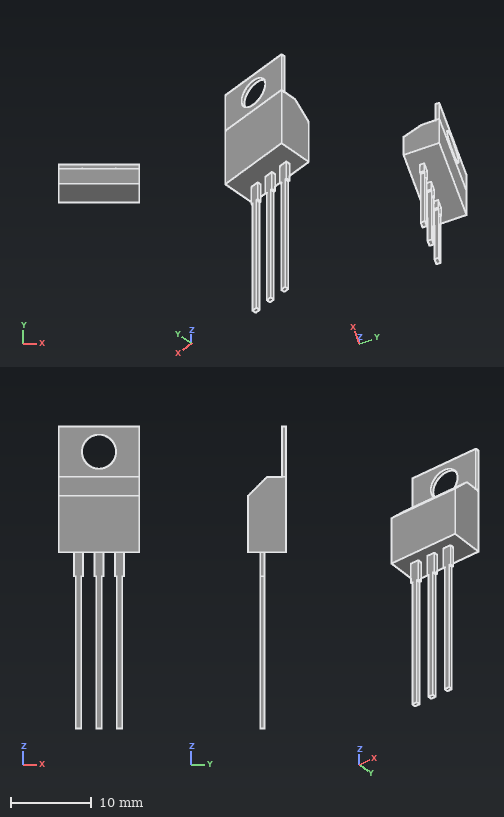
import cadquery as cq

TOTAL_HEIGHT = 37.35
WIDTH = 10.0
DEPTH = 4.7

TAB_HEIGHT = 6.25
TAB_THICKNESS = 0.52
HOLE_DIAMETER = 4.2

HOUSING_HEIGHT = 9.35
CHAMFER = 2.35

LEAD_COUNT = 3
LEAD_PITCH = 2.55
LEAD_THICKNESS = 0.55
LEAD_BACK_OFFSET = 2.65
SHOULDER_WIDTH = 1.15
SHOULDER_LENGTH = 2.95
PIN_WIDTH = 0.7

TAB_BASE = TOTAL_HEIGHT - TAB_HEIGHT
HOUSING_BASE = TAB_BASE - HOUSING_HEIGHT
SHOULDER_BASE = HOUSING_BASE - SHOULDER_LENGTH


def make_tab():
    """Flat plate with a mounting hole at its centre."""
    plate = cq.Workplane("XY").box(WIDTH, TAB_THICKNESS, TAB_HEIGHT)
    drilled = plate.faces("<Y").workplane().hole(HOLE_DIAMETER)
    return drilled.translate((0, -TAB_THICKNESS / 2, TAB_BASE + TAB_HEIGHT / 2))


def make_housing():
    """Block with its upper front edge chamfered."""
    block = cq.Workplane("XY").box(WIDTH, DEPTH, HOUSING_HEIGHT)
    chamfered = block.faces(">Z").edges("<Y").chamfer(CHAMFER)
    return chamfered.translate((0, -DEPTH / 2, HOUSING_BASE + HOUSING_HEIGHT / 2))


def make_lead(center_x):
    """Flat lead with a wide shoulder at the housing and a narrow pin below."""
    half_shoulder = SHOULDER_WIDTH / 2
    half_pin = PIN_WIDTH / 2
    profile = [
        (-half_pin, 0),
        (half_pin, 0),
        (half_pin, SHOULDER_BASE),
        (half_shoulder, SHOULDER_BASE),
        (half_shoulder, HOUSING_BASE),
        (-half_shoulder, HOUSING_BASE),
        (-half_shoulder, SHOULDER_BASE),
        (-half_pin, SHOULDER_BASE),
    ]
    lead = cq.Workplane("XZ").polyline(profile).close().extrude(LEAD_THICKNESS)
    return lead.translate((center_x, -LEAD_BACK_OFFSET, 0))


tab = make_tab()
housing = make_housing()

leads = []
for index in range(LEAD_COUNT):
    lead_x = (index - (LEAD_COUNT - 1) / 2) * LEAD_PITCH
    leads.append(make_lead(lead_x).val())

result = cq.Compound.makeCompound([tab.val(), housing.val(), *leads])